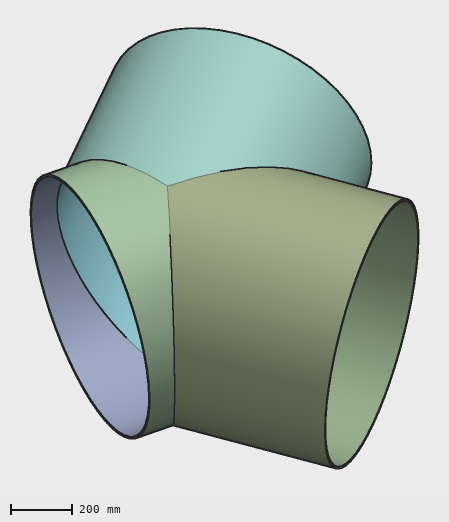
import cadquery as cq
import math

outer_diameter = 914.0
inner_diameter = 899.0
overall_width = 1652.0
inlet_length = 280.0
branch_angle = 45.0

angle = math.radians(branch_angle)
half_reach = overall_width / 2 - outer_diameter / 2 * math.cos(angle)
branch_length = half_reach / math.sin(angle)


def cylinder(diameter, length, direction):
    return cq.Workplane(cq.Solid.makeCylinder(diameter / 2, length, cq.Vector(0, 0, 0), direction))


def y_body(diameter):
    """Solid Y made of three equal cylinders, ending flat at the inlet mouth."""
    body = cylinder(diameter, inlet_length, cq.Vector(0, -1, 0))
    for side in (-1, 1):
        direction = cq.Vector(side * math.sin(angle), math.cos(angle), 0)
        body = body.union(cylinder(diameter, branch_length, direction))
    trim_size = 2 * overall_width
    keep = cq.Workplane("XY").box(trim_size, trim_size, trim_size, centered=(True, False, True))
    return body.intersect(keep.translate((0, -inlet_length, 0)))


result = y_body(outer_diameter).cut(y_body(inner_diameter))